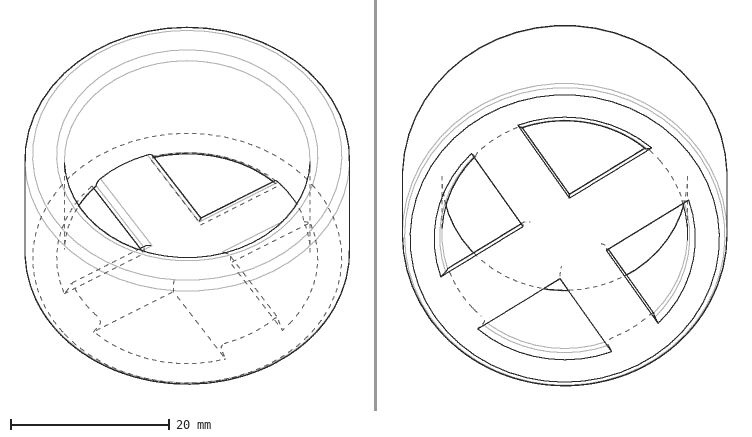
import cadquery as cq

outer_diameter = 41.0
bore_diameter = 31.0
height = 22.0
edge_size = 1.0

arm_x_width = 8.5
arm_y_width = 7.0
cross_thickness = 2.0
cross_edge_radius = 0.75


def make_ring():
    """Tube with rounded top rims and blended chamfers at the bottom."""
    ring = cq.Workplane("XY").circle(outer_diameter / 2).circle(bore_diameter / 2).extrude(height)
    ring = ring.faces(">Z").edges().fillet(edge_size)
    ring = ring.faces("<Z").edges().chamfer(edge_size)
    chamfer_top = cq.selectors.BoxSelector(
        (-outer_diameter, -outer_diameter, edge_size / 2),
        (outer_diameter, outer_diameter, edge_size * 1.5),
        boundingbox=True,
    )
    return ring.edges(chamfer_top).fillet(edge_size)


def make_cross():
    """Two crossing arms with rounded upper edges, trimmed inside the wall."""
    arm_length = outer_diameter
    cross = (
        cq.Workplane("XY")
        .rect(arm_length, arm_x_width)
        .extrude(cross_thickness)
        .union(cq.Workplane("XY").rect(arm_y_width, arm_length).extrude(cross_thickness))
    )
    long_edges = cross.faces(">Z").edges("not(<X or >X or <Y or >Y)")
    cross = long_edges.fillet(cross_edge_radius)
    trim_diameter = (outer_diameter + bore_diameter) / 2
    return cross.intersect(cq.Workplane("XY").circle(trim_diameter / 2).extrude(height))


result = make_ring().union(make_cross())